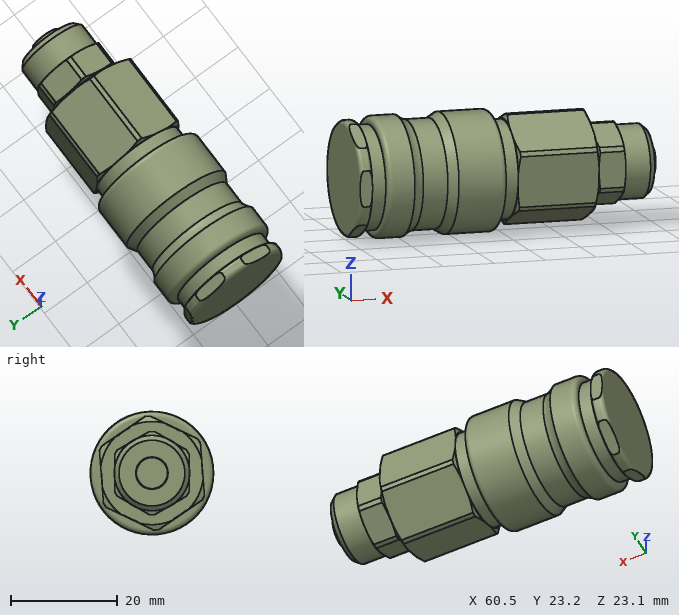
import cadquery as cq
import math


head_end = 2.5
sleeve_start = 5.2
groove_ramp_start = 10.45
groove_start = 12.45
groove_end = 17.25
sleeve_end = 28.65
wrench_hex_start = 31.4
wrench_hex_end = 47.25
nut_start = 48.1
nut_hex_end = 53.3
nut_end = 59.25
total_length = 60.5

head_diameter = 22.1
head_across_flats = 21.0
head_edge_radius = 0.8

front_neck_diameter = 20.0
sleeve_diameter = 23.15
sleeve_edge_radius = 1.0
groove_diameter = 21.0
groove_ramp_angle = 30.0
groove_arc_sag = 0.13
rear_neck_diameter = 18.95

wrench_corner_diameter = 21.4
wrench_across_flats = 19.0
wrench_chamfer_diameter = 19.35
wrench_chamfer_length = 0.4
wrench_hex_turn = 4.4

thread_neck_diameter = 12.0
spigot_diameter = 6.05
spigot_chamfer_length = 0.4
spigot_chamfer_depth = 0.1

nut_corner_diameter = 15.6
nut_across_flats = 14.0
nut_barrel_diameter = 14.15
nut_hex_chamfer_length = 0.2
nut_end_chamfer_length = 1.1
nut_end_chamfer_depth = 0.9


def cylinder(start, end, diameter):
    """Solid cylinder on the X axis between two stations."""
    return cq.Workplane("YZ", origin=(start, 0, 0)).circle(diameter / 2).extrude(end - start)


def hex_prism(start, end, across_flats, turn=0):
    """Hexagonal prism on the X axis with flats facing +Y and -Y, then turned about X."""
    corner_diameter = across_flats / math.cos(math.radians(30))
    return (
        cq.Workplane("YZ", origin=(start, 0, 0))
        .transformed(rotate=(0, 0, 30 + turn))
        .polygon(6, corner_diameter)
        .extrude(end - start)
    )


def chamfered_hex(start, end, across_flats, corner_diameter, end_diameter, chamfer_length, turn=0):
    """Hexagon with turned corners and a conical chamfer at each end."""
    blank = (
        cq.Workplane("XY")
        .moveTo(start, 0)
        .lineTo(start, end_diameter / 2)
        .lineTo(start + chamfer_length, corner_diameter / 2)
        .lineTo(end - chamfer_length, corner_diameter / 2)
        .lineTo(end, end_diameter / 2)
        .lineTo(end, 0)
        .close()
        .revolve(360, (0, 0, 0), (1, 0, 0))
    )
    return blank.intersect(hex_prism(start, end, across_flats, turn))


def make_head():
    """Disc with rounded rims and six shallow flats."""
    disc = cylinder(0, head_end, head_diameter).edges().fillet(head_edge_radius)
    return disc.intersect(hex_prism(0, head_end, head_across_flats))


def make_sleeve():
    """Grip sleeve with rounded ends and a groove: a hollow-curved front ramp, a straight rear ramp."""
    outer = sleeve_diameter / 2
    floor = groove_diameter / 2
    ramp_height = outer - floor
    rear_ramp_end = groove_end + ramp_height / math.tan(math.radians(groove_ramp_angle))
    ramp_length = groove_start - groove_ramp_start
    chord = math.hypot(ramp_length, ramp_height)
    ramp_middle = (
        (groove_ramp_start + groove_start) / 2 - groove_arc_sag * ramp_height / chord,
        (outer + floor) / 2 - groove_arc_sag * ramp_length / chord,
    )
    sleeve = (
        cq.Workplane("XY")
        .moveTo(sleeve_start, 0)
        .lineTo(sleeve_start, outer)
        .lineTo(groove_ramp_start, outer)
        .threePointArc(ramp_middle, (groove_start, floor))
        .lineTo(groove_end, floor)
        .lineTo(rear_ramp_end, outer)
        .lineTo(sleeve_end, outer)
        .lineTo(sleeve_end, 0)
        .close()
        .revolve(360, (0, 0, 0), (1, 0, 0))
    )
    return sleeve.faces("<X or >X").edges().fillet(sleeve_edge_radius)


def make_spigot():
    """Hose spigot running through the nut, with a small lead-in chamfer."""
    spigot = cylinder(nut_start, total_length, spigot_diameter)
    return spigot.faces(">X").chamfer(spigot_chamfer_length, spigot_chamfer_depth)


def make_coupling():
    """Coupling body from the locking head to the hose spigot."""
    wrench_hex = chamfered_hex(
        wrench_hex_start,
        wrench_hex_end,
        wrench_across_flats,
        wrench_corner_diameter,
        wrench_chamfer_diameter,
        wrench_chamfer_length,
        wrench_hex_turn,
    )
    return (
        make_head()
        .union(cylinder(head_end, sleeve_start, front_neck_diameter))
        .union(make_sleeve())
        .union(cylinder(sleeve_end, wrench_hex_start, rear_neck_diameter))
        .union(wrench_hex)
        .union(cylinder(wrench_hex_end, nut_start, thread_neck_diameter))
        .union(make_spigot())
    )


def make_nut():
    """Union nut: hexagon, chamfered barrel and a through bore for the spigot."""
    nut_hex = chamfered_hex(
        nut_start,
        nut_hex_end,
        nut_across_flats,
        nut_corner_diameter,
        nut_barrel_diameter,
        nut_hex_chamfer_length,
    )
    barrel = cylinder(nut_hex_end, nut_end, nut_barrel_diameter)
    barrel = barrel.faces(">X").chamfer(nut_end_chamfer_length, nut_end_chamfer_depth)
    return nut_hex.union(barrel).cut(cylinder(nut_start, nut_end, spigot_diameter))


coupling = make_coupling()
nut = make_nut()

result = cq.Compound.makeCompound([coupling.solids().val(), nut.solids().val()])